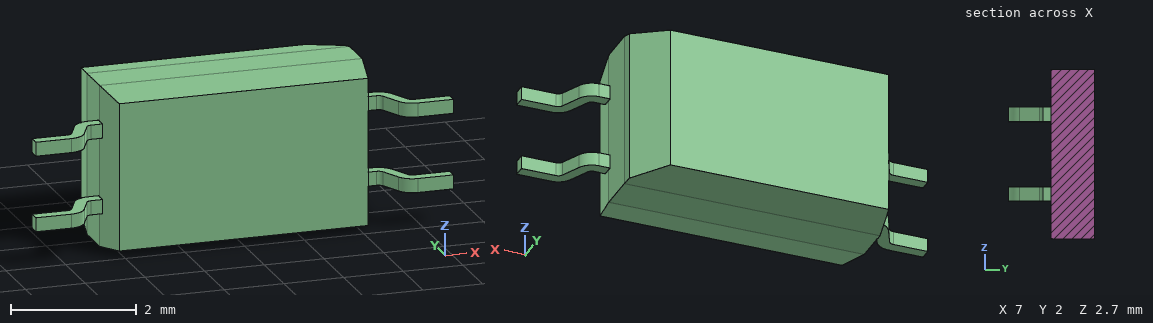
import cadquery as cq
import math

overall_length = 7.0
overall_depth = 2.0

body_length = 4.4
body_width = 2.7
standoff = 0.05
body_depth = overall_depth - standoff
belt_depth = body_depth / 3
half_depth = (body_depth - belt_depth) / 2
draft_angle = 10.0
chamfer_setback = 0.41

lead_thickness = 0.2
lead_width = 0.24
lead_pitch = 1.27
lead_height = 0.755
foot_length = 0.595
bend_angle = math.radians(65)
inner_bend_radius = 0.1
bend_radius = inner_bend_radius + lead_thickness / 2

foot_y = -overall_depth / 2
body_front_y = foot_y + standoff
belt_front_y = body_front_y + half_depth
belt_back_y = belt_front_y + belt_depth
body_back_y = overall_depth / 2
body_end_x = body_length / 2


def make_tapered_half(start_y, direction):
    """Tapered block on a belt face, growing along Y in the given direction (+1 or -1)."""
    plane = cq.Plane(origin=(0, start_y, 0), xDir=(1, 0, 0), normal=(0, direction, 0))
    return cq.Workplane(plane).rect(body_length, body_width).extrude(half_depth, taper=draft_angle)


def make_body():
    belt = (
        cq.Workplane("XY")
        .box(body_length, belt_depth, body_width)
        .translate((0, (belt_front_y + belt_back_y) / 2, 0))
    )
    body = belt.union(make_tapered_half(belt_front_y, -1)).union(make_tapered_half(belt_back_y, 1))

    back_face_end_x = body_end_x - half_depth * math.tan(math.radians(draft_angle))
    chamfer_x = back_face_end_x - chamfer_setback
    chamfer_size = body_end_x - chamfer_x
    chamfer = (
        cq.Workplane("XY")
        .moveTo(chamfer_x, body_back_y)
        .lineTo(body_end_x, body_back_y)
        .lineTo(body_end_x, body_back_y - chamfer_size)
        .close()
        .extrude(body_width / 2, both=True)
    )
    return body.cut(chamfer)


def make_lead(side, center_z):
    """Lead on the -X (side = -1) or +X (side = 1) end, butted against the body belt."""
    tip_x = overall_length / 2
    foot_center_y = foot_y + lead_thickness / 2
    shoulder_center_y = foot_y + lead_height - lead_thickness / 2

    bend_run = bend_radius * math.sin(bend_angle)
    bend_rise = bend_radius * (1 - math.cos(bend_angle))
    leg_rise = shoulder_center_y - foot_center_y - 2 * bend_rise
    leg_run = leg_rise / math.tan(bend_angle)

    foot_end_x = tip_x - foot_length
    leg_start = (foot_end_x - bend_run, foot_center_y + bend_rise)
    leg_end = (leg_start[0] - leg_run, leg_start[1] + leg_rise)
    shoulder_start = (leg_end[0] - bend_run, shoulder_center_y)

    center_line = (
        cq.Workplane("XY", origin=(0, 0, center_z))
        .moveTo(tip_x, foot_center_y)
        .lineTo(foot_end_x, foot_center_y)
        .tangentArcPoint(leg_start, relative=False)
        .lineTo(*leg_end)
        .tangentArcPoint(shoulder_start, relative=False)
        .lineTo(body_end_x, shoulder_center_y)
    )
    lead = (
        cq.Workplane("YZ", origin=(tip_x, foot_center_y, center_z))
        .rect(lead_thickness, lead_width)
        .sweep(center_line)
    )
    return lead if side > 0 else lead.mirror("YZ")


body = make_body()
leads = [make_lead(side, level * lead_pitch / 2) for side in (-1, 1) for level in (-1, 1)]

result = cq.Compound.makeCompound([body.solids().val(), *[lead.solids().val() for lead in leads]])